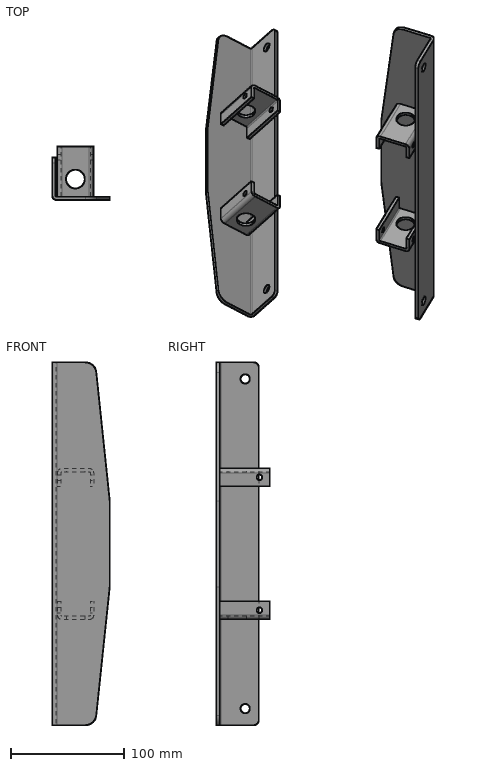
import cadquery as cq

height = 320.0
face_width = 51.0
side_depth = 37.8
thickness = 3.0
inner_bend_radius = 1.0
outer_bend_radius = inner_bend_radius + thickness

end_width = 38.0
straight_edge_height = 75.5
face_corner_radius = 10.0

side_corner_radius = 4.8
mount_hole_diameter = 8.0
mount_hole_y = 25.5
mount_hole_end_distance = 14.7

bracket_left = 4.5
bracket_width = 32.0
bracket_back = 47.5
bracket_height = 16.0
bracket_outer_z = 66.5
web_hole_diameter = 16.3
web_hole_x = bracket_left + bracket_width / 2
web_hole_y = 18.5
flange_hole_diameter = 4.8
flange_hole_y = 38.0


def box(x, y, z, x_size, y_size, z_size):
    """Box with its lowest corner at x, y, z."""
    return cq.Workplane("XY").box(x_size, y_size, z_size, centered=False).translate((x, y, z))


def make_angle():
    """L-section with a tapered front face and a drilled side flange."""
    half_height = height / 2
    half_straight = straight_edge_height / 2

    angle = box(0, 0, -half_height, face_width, side_depth, height)
    angle = angle.edges("|Z and <X and <Y").fillet(outer_bend_radius)
    inside = box(thickness, thickness, -half_height, face_width, side_depth, height)
    angle = angle.cut(inside.edges("|Z and <X and <Y").fillet(inner_bend_radius))

    outline = (
        cq.Workplane("XZ")
        .polyline([
            (0, -half_height),
            (end_width, -half_height),
            (face_width, -half_straight),
            (face_width, half_straight),
            (end_width, half_height),
            (0, half_height),
        ])
        .close()
        .extrude(-side_depth)
    )
    for end in ("<Z", ">Z"):
        outline = outline.faces(end).edges(">X").fillet(face_corner_radius)
    angle = angle.intersect(outline)
    angle = angle.faces(">Y").edges("|X").fillet(side_corner_radius)

    hole_z = half_height - mount_hole_end_distance
    holes = (
        cq.Workplane("YZ")
        .pushPoints([(mount_hole_y, -hole_z), (mount_hole_y, hole_z)])
        .circle(mount_hole_diameter / 2)
        .extrude(thickness)
    )
    return angle.cut(holes)


def make_upper_bracket():
    """Channel with its web on top and both flanges pointing down."""
    bottom = bracket_outer_z - bracket_height
    length = bracket_back - thickness
    bracket = box(bracket_left, thickness, bottom, bracket_width, length, bracket_height)
    bracket = bracket.edges("|Y and >Z").fillet(outer_bend_radius)
    inside = box(
        bracket_left + thickness, thickness, bottom,
        bracket_width - 2 * thickness, length, bracket_height - thickness,
    )
    bracket = bracket.cut(inside.edges("|Y and >Z").fillet(inner_bend_radius))

    web_hole = (
        cq.Workplane("XY", origin=(web_hole_x, web_hole_y, bottom))
        .circle(web_hole_diameter / 2)
        .extrude(bracket_height)
    )
    flange_holes = (
        cq.Workplane("YZ", origin=(bracket_left, flange_hole_y, bottom + bracket_height / 2))
        .circle(flange_hole_diameter / 2)
        .extrude(bracket_width)
    )
    return bracket.cut(web_hole).cut(flange_holes)


upper_bracket = make_upper_bracket()
lower_bracket = upper_bracket.mirror("XY")
result = make_angle().union(upper_bracket).union(lower_bracket)